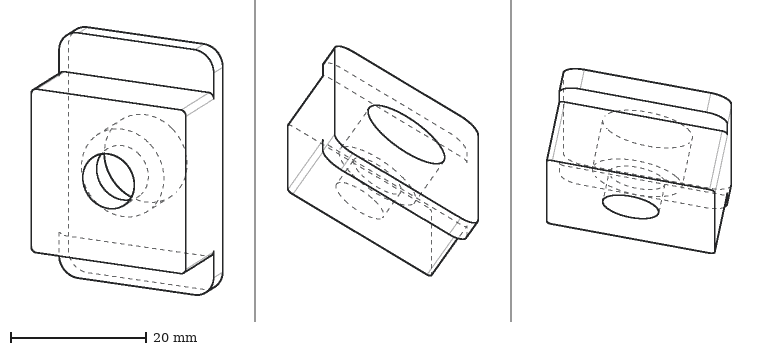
import cadquery as cq

plate_height = 38.1
width = 25.4
total_depth = 12.7
plate_thickness = 3.15
plate_corner_radius = 3.15
block_height = width
block_corner_radius = 0.85
hole_diameter = 8.45
counterbore_diameter = 13.55
hole_length = 4.75

back_y = total_depth / 2
block_depth = total_depth - plate_thickness
counterbore_depth = total_depth - hole_length


def rounded_slab(height, depth, corner_radius, slab_back_y):
    """Slab standing in XZ, rounded at its four corners, running from slab_back_y toward -Y."""
    return (
        cq.Workplane("XZ", origin=(0, slab_back_y, 0))
        .rect(width, height)
        .extrude(depth)
        .edges("|Y")
        .fillet(corner_radius)
    )


def bore(diameter, depth):
    """Round cutter entering from the back face and running toward -Y."""
    return cq.Workplane("XZ", origin=(0, back_y, 0)).circle(diameter / 2).extrude(depth)


plate = rounded_slab(plate_height, plate_thickness, plate_corner_radius, back_y)
block = rounded_slab(block_height, block_depth, block_corner_radius, back_y - plate_thickness)

hole = bore(hole_diameter, total_depth)
counterbore = bore(counterbore_diameter, counterbore_depth)

result = plate.union(block).cut(hole).cut(counterbore)